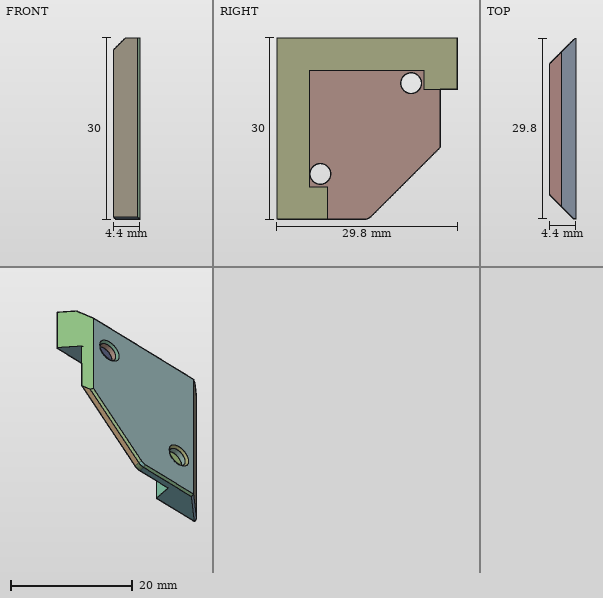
import cadquery as cq

thickness = 4.4
width = 29.83
height = 30.0

near_bevel = 4.0
far_bevel = 4.2
top_bevel = 1.98

tab_height = 8.52
tab_length = 2.82
web_thickness = far_bevel - tab_length
tab_inner_y = 24.3
wall = 5.4
pad_height = 5.4
pad_length = 8.35

corner_y = 15.07
diagonal_corner_radius = 1.5
edge_chamfer = 0.4

hole_diameter = 3.4
countersink_diameter = 4.2
lower_hole_y = 7.17
lower_hole_z = 7.53
hole_pitch = 15.0


def bevelled_plate():
    """Plate with 45 degree bevels on both sides and along the top."""
    plate = (
        cq.Workplane("XY")
        .moveTo(0, near_bevel)
        .lineTo(near_bevel, 0)
        .lineTo(thickness, 0)
        .lineTo(thickness, width)
        .lineTo(far_bevel, width)
        .lineTo(0, width - far_bevel)
        .close()
        .extrude(height)
    )
    top_wedge = (
        cq.Workplane("XZ")
        .moveTo(0, height - top_bevel)
        .lineTo(top_bevel, height)
        .lineTo(0, height)
        .close()
        .extrude(-width)
    )
    return plate.cut(top_wedge)


def cut_diagonal(body):
    """Cut off the lower far corner and round where the diagonal meets the bottom."""
    corner = (
        cq.Workplane("YZ")
        .moveTo(corner_y, 0)
        .lineTo(width, 0)
        .lineTo(width, width - corner_y)
        .close()
        .extrude(thickness)
    )
    corner_point = (thickness / 2, corner_y, 0)
    corner_edge = cq.selectors.NearestToPointSelector(corner_point)
    return body.cut(corner).edges(corner_edge).fillet(diagonal_corner_radius)


def chamfer_lower_edges(body):
    """Ease the near bevel's bottom edge, then the front face's bottom, rounded corner and diagonal edges."""
    bevel_edge = cq.selectors.NearestToPointSelector((near_bevel / 2, near_bevel / 2, 0))
    front_edge = cq.selectors.NearestToPointSelector((0, (near_bevel + corner_y) / 2, 0))
    selected = body.edges(bevel_edge).add(body.edges(front_edge))
    return selected.chamfer(edge_chamfer)


def cut_rear_pocket(body):
    """Hollow the back, leaving a web, near and top walls, a lower pad and the tab."""
    pocket = (
        cq.Workplane("YZ", origin=(web_thickness, 0, 0))
        .moveTo(wall, pad_height)
        .lineTo(pad_length, pad_height)
        .lineTo(pad_length, 0)
        .lineTo(width, 0)
        .lineTo(width, height - tab_height)
        .lineTo(tab_inner_y, height - tab_height)
        .lineTo(tab_inner_y, height - wall)
        .lineTo(wall, height - wall)
        .close()
        .extrude(thickness - web_thickness)
    )
    return body.cut(pocket)


def drill_holes(body):
    """Drill the two through holes and countersink them from the front face."""
    centers = [
        (lower_hole_y, lower_hole_z),
        (lower_hole_y + hole_pitch, lower_hole_z + hole_pitch),
    ]
    countersink_depth = (countersink_diameter - hole_diameter) / 2
    for y, z in centers:
        hole = cq.Workplane("YZ").center(y, z).circle(hole_diameter / 2).extrude(thickness)
        countersink = (
            cq.Workplane("YZ")
            .center(y, z)
            .circle(countersink_diameter / 2)
            .extrude(countersink_depth, taper=45)
        )
        body = body.cut(hole).cut(countersink)
    return body


plate = cut_diagonal(bevelled_plate())
plate = chamfer_lower_edges(plate)
plate = cut_rear_pocket(plate)
result = drill_holes(plate)